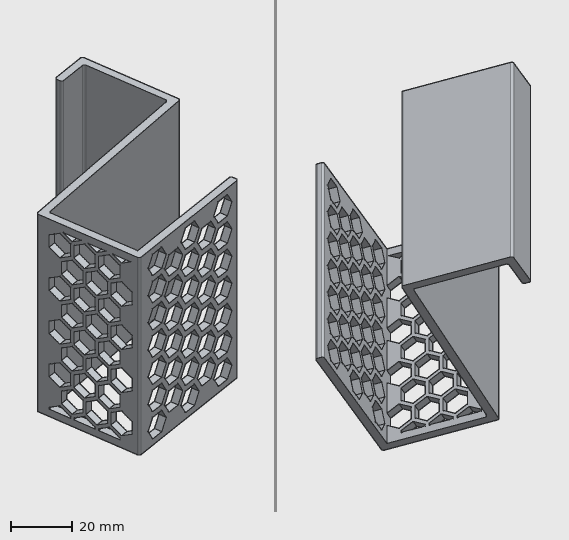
import cadquery as cq
import math

width = 81.65
depth = 79.0
height = 80.0
wall = 3.0
corner_radius = 0.8

lip_length = 15.0
roof_width = 40.0
tray_left = 39.7
tray_wall_end = 54.4
lean_angle = 2.0

hex_across_flats = 8.65
hex_corner_radius = hex_across_flats / math.sqrt(3)
points_up = 30
points_sideways = 0

floor_pitch = 10.05
floor_row_pitch = 8.7
floor_rows = 10
floor_columns = 3
floor_last_x = width - wall - hex_across_flats / 2
floor_first_x = floor_last_x - (floor_columns - 0.5) * floor_pitch
floor_first_z = 1.2
rim = wall

wall_column_pitch = 9.1
wall_hole_pitch = 11.0
wall_columns = 5
wall_long_column_holes = 7
wall_first_y = 9.7


def strip_profile():
    """Outline of the folded strip in the XY plane, with sharp corners."""
    lean = math.tan(math.radians(lean_angle))
    roof_underside = depth - wall
    lean_left_at_roof = tray_left - lean * roof_underside
    lean_right_at_floor = roof_width + lean * roof_underside
    return [
        (0, depth),
        (roof_width, depth),
        (lean_right_at_floor, wall),
        (width - wall, wall),
        (width - wall, tray_wall_end),
        (width, tray_wall_end),
        (width, 0),
        (tray_left, 0),
        (lean_left_at_roof, roof_underside),
        (wall, roof_underside),
        (wall, depth - lip_length),
        (0, depth - lip_length),
    ]


def folded_strip():
    strip = cq.Workplane("XY").polyline(strip_profile()).close().extrude(height)
    sharp_corner = cq.selectors.NearestToPointSelector((width - wall, wall, height / 2))
    rounded_edges = strip.edges("|Z").edges(cq.selectors.InverseSelector(sharp_corner))
    return rounded_edges.fillet(corner_radius)


def hexagon(first_corner_angle):
    """Corner points of one hexagonal hole around its centre."""
    angles = [math.radians(first_corner_angle + side * 360 / 6) for side in range(6)]
    return [(hex_corner_radius * math.cos(a), hex_corner_radius * math.sin(a)) for a in angles]


def hexagonal_cutters(plane, centres, first_corner_angle, length):
    """Hexagonal prisms of the given length, one at each centre."""
    corners = hexagon(first_corner_angle)
    cutters = cq.Workplane(plane)
    for u, v in centres:
        cutters = cutters.polyline([(u + du, v + dv) for du, dv in corners]).close()
    return cutters.extrude(length)


def floor_holes():
    centres = []
    for row in range(floor_rows):
        shift = floor_pitch / 2 * (row % 2)
        for column in range(floor_columns):
            x = floor_first_x + shift + column * floor_pitch
            centres.append((x, floor_first_z + row * floor_row_pitch))
    cutters = hexagonal_cutters("XZ", centres, points_up, -wall)
    between_rims = cq.Workplane("XY").box(width, wall, height - 2 * rim, centered=False)
    return cutters.intersect(between_rims.translate((0, 0, rim)))


def tray_wall_holes():
    centres = []
    for column in range(wall_columns):
        holes = wall_long_column_holes - column % 2
        lowest_z = (height - (holes - 1) * wall_hole_pitch) / 2
        for hole in range(holes):
            y = wall_first_y + column * wall_column_pitch
            centres.append((y, lowest_z + hole * wall_hole_pitch))
    return hexagonal_cutters("YZ", centres, points_sideways, wall).translate((width - wall, 0, 0))


result = folded_strip().cut(floor_holes()).cut(tray_wall_holes())